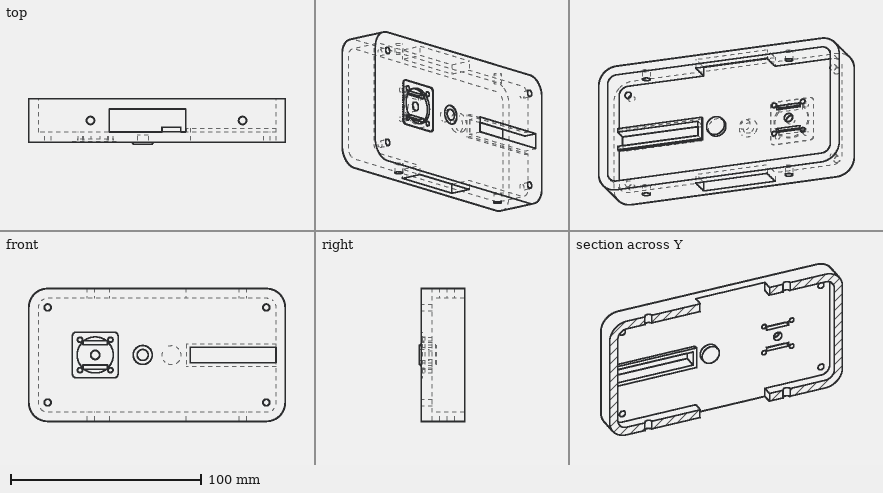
import cadquery as cq
import math

LENGTH = 135.0
HEIGHT = 70.0
DEPTH = 23.0
CORNER_RADIUS = 10.0
WALL = 5.0

CORNER_HOLE_DIAMETER = 3.4
CORNER_HOLE_X = LENGTH / 2 - CORNER_RADIUS
CORNER_HOLE_Z = HEIGHT / 2 - CORNER_RADIUS

MID_DEPTH = DEPTH / 2
WINDOW_LENGTH = 40.0
WINDOW_WIDTH = 12.0
WINDOW_X = -5.0
SIDE_HOLE_DIAMETER = 4.0
SIDE_HOLES_X = (-35.0, 45.0)

FLOOR = MID_DEPTH - WINDOW_WIDTH / 2

SLOT_LENGTH = 45.0
SLOT_HEIGHT = 8.0
SLOT_X = LENGTH / 2 - WALL - SLOT_LENGTH / 2
RIM_WALL = 2.0
RIM_RISE = 2.0

POST_DIAMETER = 10.0
POST_HEIGHT = 2.5
POST_X = 7.5

SEAT_X = -32.5
SEAT_SIZE = 24.0
SEAT_CORNER_RADIUS = 2.0
SEAT_DEPTH = 0.5
DISH_DIAMETER = 19.0
DISH_DEPTH = 1.5
SEAT_CENTRE_HOLE_DIAMETER = 4.6
SEAT_SCREW_DIAMETER = 2.5
SEAT_SCREW_OFFSET = 8.0
SEAT_SLOT_LENGTH = 12.8
SEAT_SLOT_HEIGHT = 2.0
SEAT_SLOT_OFFSET = 6.4

COLLAR_X = -7.5
COLLAR_DIAMETER = 10.0
COLLAR_HEIGHT = 1.0
COLLAR_ROOT = 1.0
SOCKET_DIAMETER = 5.8
SOCKET_DEPTH = 5.0


def block(x, z, length, height, y_start, y_end):
    """Rectangular block spanning y_start to y_end, centred on (x, z)."""
    return (
        cq.Workplane("XZ", origin=(x, y_start, z))
        .rect(length, height)
        .extrude(y_start - y_end)
    )


def cylinder(x, z, diameter, y_start, y_end):
    """Cylinder along Y spanning y_start to y_end, centred on (x, z)."""
    return (
        cq.Workplane("XZ", origin=(x, y_start, z))
        .circle(diameter / 2)
        .extrude(y_start - y_end)
    )


def make_shell():
    outer = block(0, 0, LENGTH, HEIGHT, 0, DEPTH).edges("|Y").fillet(CORNER_RADIUS)
    cavity = block(0, 0, LENGTH - 2 * WALL, HEIGHT - 2 * WALL, FLOOR, DEPTH)
    return outer.cut(cavity.edges("|Y").fillet(CORNER_RADIUS - WALL))


def cut_corner_holes(body):
    for x in (-CORNER_HOLE_X, CORNER_HOLE_X):
        for z in (-CORNER_HOLE_Z, CORNER_HOLE_Z):
            body = body.cut(cylinder(x, z, CORNER_HOLE_DIAMETER, 0, FLOOR))
    return body


def cut_vertical_openings(body):
    base = cq.Workplane("XY", origin=(0, MID_DEPTH, -HEIGHT / 2))
    window = base.center(WINDOW_X, 0).rect(WINDOW_LENGTH, WINDOW_WIDTH).extrude(HEIGHT)
    body = body.cut(window)
    side_hole_points = [(x, 0) for x in SIDE_HOLES_X]
    side_holes = base.pushPoints(side_hole_points).circle(SIDE_HOLE_DIAMETER / 2).extrude(HEIGHT)
    return body.cut(side_holes)


def add_rimmed_slot(body):
    rim_length = SLOT_LENGTH + 2 * RIM_WALL
    rim_width = SLOT_HEIGHT + 2 * RIM_WALL
    rim_top = FLOOR + RIM_RISE
    rim = block(SLOT_X, 0, rim_length, rim_width, FLOOR, rim_top)
    slot = block(SLOT_X, 0, SLOT_LENGTH, SLOT_HEIGHT, 0, rim_top)
    return body.union(rim).cut(slot)


def add_post(body):
    return body.union(cylinder(POST_X, 0, POST_DIAMETER, FLOOR, FLOOR + POST_HEIGHT))


def cut_module_seat(body):
    seat = block(SEAT_X, 0, SEAT_SIZE, SEAT_SIZE, 0, SEAT_DEPTH)
    body = body.cut(seat.edges("|Y").fillet(SEAT_CORNER_RADIUS))
    body = body.cut(cylinder(SEAT_X, 0, DISH_DIAMETER, 0, SEAT_DEPTH + DISH_DEPTH))
    body = body.cut(cylinder(SEAT_X, 0, SEAT_CENTRE_HOLE_DIAMETER, 0, FLOOR))
    for side_z in (-1, 1):
        slot_z = side_z * SEAT_SLOT_OFFSET
        body = body.cut(block(SEAT_X, slot_z, SEAT_SLOT_LENGTH, SEAT_SLOT_HEIGHT, 0, FLOOR))
        for side_x in (-1, 1):
            screw_x = SEAT_X + side_x * SEAT_SCREW_OFFSET
            screw_z = side_z * SEAT_SCREW_OFFSET
            body = body.cut(cylinder(screw_x, screw_z, SEAT_SCREW_DIAMETER, 0, FLOOR))
    return body


def add_collar(body):
    """Collar whose side is a concave fillet blending into the front face."""
    top_radius = COLLAR_DIAMETER / 2
    base_radius = top_radius + COLLAR_HEIGHT
    arc_inset = COLLAR_HEIGHT * (1 - math.sqrt(0.5))
    arc_middle = (top_radius + arc_inset, -arc_inset)
    profile = (
        cq.Workplane("XY", origin=(COLLAR_X, 0, 0))
        .moveTo(0, -COLLAR_HEIGHT)
        .lineTo(top_radius, -COLLAR_HEIGHT)
        .threePointArc(arc_middle, (base_radius, 0))
        .lineTo(base_radius, COLLAR_ROOT)
        .lineTo(0, COLLAR_ROOT)
        .close()
    )
    collar = profile.revolve(360, (0, 0, 0), (0, 1, 0))
    socket_start = -COLLAR_HEIGHT
    socket = cylinder(COLLAR_X, 0, SOCKET_DIAMETER, socket_start, socket_start + SOCKET_DEPTH)
    return body.union(collar).cut(socket)


result = make_shell()
result = cut_corner_holes(result)
result = cut_vertical_openings(result)
result = add_rimmed_slot(result)
result = add_post(result)
result = cut_module_seat(result)
result = add_collar(result)